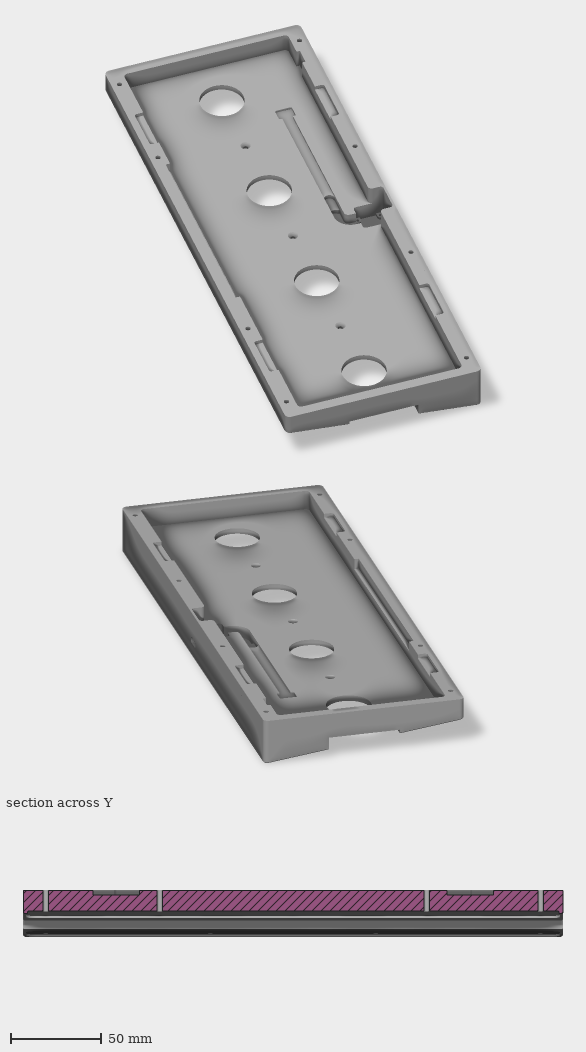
import cadquery as cq
import math

length = 299.3
width = 115.2
height = 26.0
corner_radius = 3.0
bottom_tilt = 6.8
bottom_chamfer = 0.5

cavity_length = 287.5
cavity_width = 96.7
cavity_depth = 11.0
cavity_corner_radius = 2.5
cavity_back = cavity_width / 2

slot_width = 41.0
slot_depth = 14.5
pad_inset = 1.8
pad_width = 25.7
pad_depth = 1.2
pad_corner_radius = 5.7

opening_pitch = 77.8
opening_diameter = 25.0
opening_count = 4
screw_diameter = 2.5
screw_head_diameter = 5.7
screw_head_angle = 90.0

rim_hole_diameter = 2.9
rim_hole_y = 53.0
rim_hole_end_x = 137.0
rim_hole_back_x = 45.8
rim_hole_front_x = 74.0

clip_length = 26.0
clip_reach = 53.5
clip_depth = 2.5
clip_corner_radius = 1.5
clip_back_x = 86.0
clip_front_x = 98.2
ledge_x = (-67.0, 48.0)
ledge_reach = 51.0
ledge_depth = 6.0
notch_x = (-129.0, -119.7)
notch_reach = 50.3

pocket_x = -1.2
pocket_length = 17.7
pocket_front = 39.0
pocket_back = 56.3
pocket_depth = 21.0
pocket_corner_radius = 1.8
pocket_mouth_radius = 2.5
post_size = 4.0
post_corner_radius = 1.5
post_height = 1.5
post_hole_diameter = 1.6
post_hole_inset = 2.0
port_length = 10.0
port_height = 3.5
port_floor_gap = 2.7

channel_y = 29.5
channel_width = 6.3
channel_start = -95.8
channel_depth = 1.35
channel_step_depth = 4.0
channel_deep_depth = 6.5
channel_step_x = -25.7
channel_deep_x = -16.0
riser_x = pocket_x
riser_width = 8.5
bend_outer_radius = 9.5
bend_inner_radius = 2.7
plug_x = (-98.8, -91.5)
plug_width = 10.0
plug_corner_radius = 1.0

tilt = math.radians(bottom_tilt)
overshoot = 3.0
select_margin = 0.3


def block(x_range, y_range, z_range):
    """Axis-aligned box from its limits."""
    return cq.Workplane("XY").box(
        x_range[1] - x_range[0], y_range[1] - y_range[0], z_range[1] - z_range[0], centered=False
    ).translate((x_range[0], y_range[0], z_range[0]))


def centred(middle, size):
    return (middle - size / 2, middle + size / 2)


def bottom_z(y):
    """Height of the sloped underside at a given y."""
    lowest_y = width / 2 - bottom_chamfer
    return -height + (lowest_y - y) * math.tan(tilt)


def make_body():
    profile = [
        (-width / 2, 0),
        (width / 2, 0),
        (width / 2, bottom_z(width / 2)),
        (-width / 2, bottom_z(-width / 2)),
    ]
    body = cq.Workplane("YZ").polyline(profile).close().extrude(length / 2, both=True)
    body = body.edges("|Z").fillet(corner_radius)
    body = body.faces("<Z").edges().chamfer(bottom_chamfer)
    slot_z = (-height - overshoot, -slot_depth)
    return body.cut(block(centred(0, length + overshoot), centred(0, slot_width), slot_z))


def cut_pad_recesses(body):
    pad_offset = width / 2 - pad_inset - pad_width / 2
    for y in (-pad_offset, pad_offset):
        pad = cq.Workplane("XY").box(length - 2 * pad_inset, pad_width, 2 * pad_depth)
        pad = pad.edges("|Z").fillet(pad_corner_radius)
        pad = pad.rotate((0, 0, 0), (1, 0, 0), -bottom_tilt)
        body = body.cut(pad.translate((0, y, bottom_z(y))))
    return body


def cut_cavity(body):
    cavity = block(centred(0, cavity_length), centred(0, cavity_width), (-cavity_depth, overshoot))
    body = body.cut(cavity.edges("|Z").fillet(cavity_corner_radius))
    return body.cut(block(notch_x, (0, notch_reach), (-cavity_depth, overshoot)))


def cut_rim_recesses(body):
    clip = block(centred(0, clip_length), (0, clip_reach), (-clip_depth, overshoot))
    clip = clip.edges("|Z and >Y").fillet(clip_corner_radius)
    for side in (-1, 1):
        body = body.cut(clip.translate((side * clip_back_x, 0, 0)))
        body = body.cut(clip.mirror("XZ").translate((side * clip_front_x, 0, 0)))
    return body.cut(block(ledge_x, (-ledge_reach, 0), (-ledge_depth, overshoot)))


def cut_holes(body):
    openings = (
        cq.Workplane("XY").rarray(opening_pitch, 3, opening_count, 1)
        .circle(opening_diameter / 2).extrude(-height)
    )
    body = body.cut(openings)
    body = (
        body.copyWorkplane(cq.Workplane("XY", origin=(0, 0, -cavity_depth)))
        .rarray(opening_pitch, 3, opening_count - 1, 1)
        .cskHole(screw_diameter, screw_head_diameter, screw_head_angle)
    )
    rim_points = []
    for side in (-1, 1):
        rim_points.append((side * rim_hole_end_x, rim_hole_y))
        rim_points.append((side * rim_hole_end_x, -rim_hole_y))
        rim_points.append((side * rim_hole_back_x, rim_hole_y))
        rim_points.append((side * rim_hole_front_x, -rim_hole_y))
    drills = cq.Workplane("XY").pushPoints(rim_points).circle(rim_hole_diameter / 2).extrude(-2 * height)
    return body.cut(drills)


def cut_connector_pocket(body):
    x_range = centred(pocket_x, pocket_length)
    y_range = (pocket_front, pocket_back)
    pocket = block(x_range, y_range, (-pocket_depth, overshoot))
    pocket = pocket.edges("|Z").fillet(pocket_corner_radius)
    body = body.cut(pocket)
    mouth = body.edges(
        cq.selectors.BoxSelector(
            (x_range[0] - select_margin, cavity_back - select_margin, -cavity_depth),
            (x_range[1] + select_margin, cavity_back + select_margin, 0),
        )
    ).edges("|Z")
    body = mouth.fillet(pocket_mouth_radius)

    middle = (pocket_front + pocket_back) / 2
    floor = cq.Workplane("XY", origin=(pocket_x, middle, -pocket_depth))
    pocket_width = pocket_back - pocket_front
    posts = (
        floor.rarray(pocket_length, pocket_width, 2, 2)
        .rect(2 * post_size, 2 * post_size).extrude(post_height)
        .edges("|Z").fillet(post_corner_radius)
    )
    holes = (
        floor.rarray(pocket_length - 2 * post_hole_inset, pocket_width - 2 * post_hole_inset, 2, 2)
        .circle(post_hole_diameter / 2).extrude(post_height)
    )
    body = body.union(posts.intersect(pocket).cut(holes))

    port_z = -pocket_depth + port_floor_gap + port_height / 2
    port = (
        cq.Workplane("XZ", origin=(pocket_x, middle, port_z))
        .slot2D(port_length, port_height).extrude(-width / 2)
    )
    return body.cut(port)


def channel_run(start_x, end_x, depth):
    """Straight groove in the floor with a round start."""
    radius = channel_width / 2
    y_low = channel_y - radius
    y_high = channel_y + radius
    return (
        cq.Workplane("XY", origin=(0, 0, -cavity_depth))
        .moveTo(end_x, y_low).lineTo(start_x + radius, y_low)
        .threePointArc((start_x, channel_y), (start_x + radius, y_high))
        .lineTo(end_x, y_high).close().extrude(-depth)
    )


def channel_bend():
    """Deep end of the groove, turning from +X to +Y into the pocket."""
    left, right = centred(riser_x, riser_width)
    low, high = centred(channel_y, channel_width)
    top = pocket_front + pocket_corner_radius
    diagonal = 1 - math.sqrt(0.5)
    inner = bend_inner_radius
    outer = bend_outer_radius
    return (
        cq.Workplane("XY", origin=(0, 0, -cavity_depth))
        .moveTo(left - outer, low).lineTo(right - outer, low)
        .threePointArc((right - outer * diagonal, low + outer * diagonal), (right, low + outer))
        .lineTo(right, top).lineTo(left, top).lineTo(left, high + inner)
        .threePointArc((left - inner * diagonal, high + inner * diagonal), (left - inner, high))
        .lineTo(left - outer, high).close().extrude(-channel_deep_depth)
    )


def cut_channel(body):
    bend_start = riser_x - riser_width / 2 - bend_outer_radius
    body = body.cut(channel_run(channel_start, bend_start, channel_depth))
    body = body.cut(channel_run(channel_step_x, bend_start, channel_step_depth))
    body = body.cut(channel_run(channel_deep_x, bend_start + overshoot, channel_deep_depth))
    body = body.cut(channel_bend())
    plug = block(plug_x, centred(channel_y, plug_width), (-cavity_depth - channel_depth, -cavity_depth))
    return body.cut(plug.edges("|Z").fillet(plug_corner_radius))


result = make_body()
result = cut_pad_recesses(result)
result = cut_cavity(result)
result = cut_rim_recesses(result)
result = cut_connector_pocket(result)
result = cut_channel(result)
result = cut_holes(result)